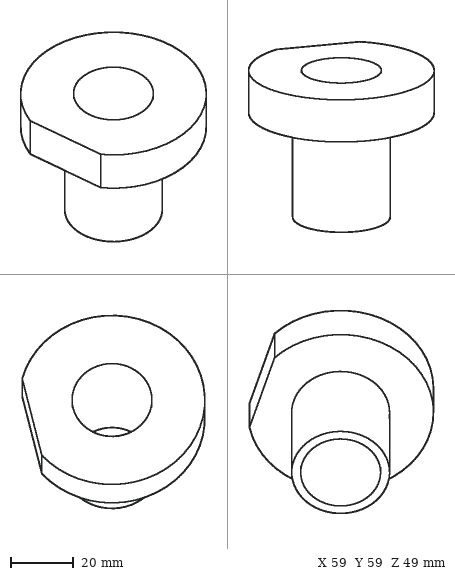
import cadquery as cq

flange_diameter = 59.0
flange_thickness = 14.1
total_height = 49.0
sleeve_diameter = 31.1
bore_diameter = 25.35
flat_distance = 26.1
flat_angle = -58.0

sleeve_length = total_height - flange_thickness


def make_flange():
    """Disc on top of the sleeve, with one flat cut into its rim."""
    beyond_flat = (
        cq.Workplane("XY")
        .box(flange_diameter, flange_diameter, flange_thickness, centered=(False, True, False))
        .translate((flat_distance, 0, 0))
        .rotate((0, 0, 0), (0, 0, 1), flat_angle)
    )
    disc = cq.Workplane("XY").circle(flange_diameter / 2).extrude(flange_thickness)
    return disc.cut(beyond_flat).translate((0, 0, sleeve_length))


def make_flanged_bush():
    """Flange and sleeve in one piece, bored through along Z."""
    sleeve = cq.Workplane("XY").circle(sleeve_diameter / 2).extrude(sleeve_length)
    bore = cq.Workplane("XY").circle(bore_diameter / 2).extrude(total_height)
    return make_flange().union(sleeve).cut(bore)


flanged_bush = make_flanged_bush()

result = cq.Compound.makeCompound([flanged_bush.val()])